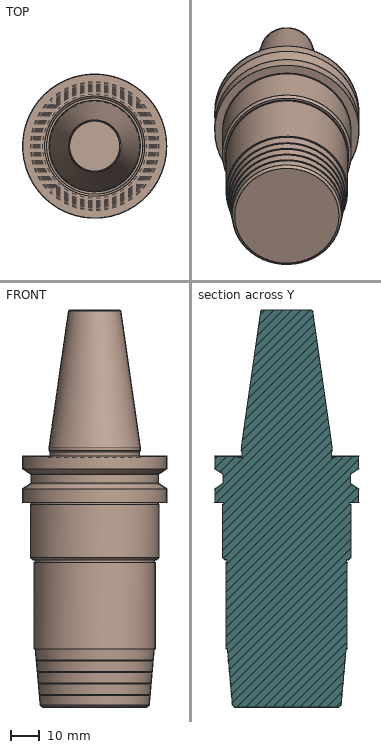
import cadquery as cq

TOTAL_HEIGHT = 137.8
FLANGE_TOP = 87.1
FLANGE_BOTTOM = 71.0
COLLAR_BOTTOM = 51.5
BODY_BOTTOM = 20.3

TAPER_TOP_RADIUS = 9.1
TAPER_BASE_RADIUS = 15.8
TAPER_BASE = 90.1
TAPER_TOP_CHAMFER = 0.4
NECK_RADIUS = 15.6
RELIEF_CHAMFER = 0.4
RELIEF_STEP_RADIUS = 15.8
RELIEF_STEP_HEIGHT = 89.0

RECESS_RADIUS = 17.4
RECESS_FLOOR_RADIUS = 16.7
RECESS_DEPTH = 0.4

FLANGE_DIAMETER = 50.0
FLANGE_RADIUS = FLANGE_DIAMETER / 2
GROOVE_RADIUS = 22.2
GROOVE_UPPER_LIP = 82.7
GROOVE_LOWER_LIP = 75.8
GROOVE_UPPER_FLOOR = 81.0
GROOVE_LOWER_FLOOR = 77.5
GROOVE_CORNER_CHAMFER = 0.3

COLLAR_RADIUS = 22.3
COLLAR_CHAMFER = 0.8
COLLAR_NECK_RADIUS = 22.0
COLLAR_NECK_HEIGHT = 0.7
BODY_RADIUS = 21.1
BODY_SHOULDER = 50.3
SHOULDER_RADIUS = 20.8

NOSE_TOP_RADIUS = 20.7
NOSE_TIP_RADIUS = 18.9
NOSE_CHAMFER = 0.8
RING_PITCH = 4.0
RING_COUNT = 4
RING_WIDTH = 0.4
RING_DEPTH = 0.1


def nose_radius(height):
    """Radius of the tapered nose at a given height."""
    return NOSE_TIP_RADIUS + (NOSE_TOP_RADIUS - NOSE_TIP_RADIUS) * height / BODY_BOTTOM


def make_holder():
    """Revolve the half profile, from the nose face up to the shank end."""
    profile = [
        (0, 0),
        (NOSE_TIP_RADIUS - NOSE_CHAMFER, 0),
        (nose_radius(NOSE_CHAMFER), NOSE_CHAMFER),
        (NOSE_TOP_RADIUS, BODY_BOTTOM),
        (BODY_RADIUS, BODY_BOTTOM),
        (BODY_RADIUS, BODY_SHOULDER),
        (SHOULDER_RADIUS, BODY_SHOULDER),
        (SHOULDER_RADIUS, COLLAR_BOTTOM - COLLAR_CHAMFER / 2),
        (COLLAR_RADIUS - COLLAR_CHAMFER, COLLAR_BOTTOM - COLLAR_CHAMFER / 2),
        (COLLAR_RADIUS, COLLAR_BOTTOM + COLLAR_CHAMFER / 2),
        (COLLAR_RADIUS, FLANGE_BOTTOM - COLLAR_NECK_HEIGHT),
        (COLLAR_NECK_RADIUS, FLANGE_BOTTOM - COLLAR_NECK_HEIGHT),
        (COLLAR_NECK_RADIUS, FLANGE_BOTTOM),
        (FLANGE_RADIUS, FLANGE_BOTTOM),
        (FLANGE_RADIUS, GROOVE_LOWER_LIP),
        (GROOVE_RADIUS + GROOVE_CORNER_CHAMFER, GROOVE_LOWER_FLOOR),
        (GROOVE_RADIUS, GROOVE_LOWER_FLOOR + GROOVE_CORNER_CHAMFER),
        (GROOVE_RADIUS, GROOVE_UPPER_FLOOR - GROOVE_CORNER_CHAMFER),
        (GROOVE_RADIUS + GROOVE_CORNER_CHAMFER, GROOVE_UPPER_FLOOR),
        (FLANGE_RADIUS, GROOVE_UPPER_LIP),
        (FLANGE_RADIUS, FLANGE_TOP),
        (RECESS_RADIUS, FLANGE_TOP),
        (RECESS_FLOOR_RADIUS, FLANGE_TOP - RECESS_DEPTH),
        (NECK_RADIUS, FLANGE_TOP - RECESS_DEPTH),
        (NECK_RADIUS, RELIEF_STEP_HEIGHT - RELIEF_CHAMFER),
        (RELIEF_STEP_RADIUS, RELIEF_STEP_HEIGHT),
        (TAPER_BASE_RADIUS, TAPER_BASE),
        (TAPER_TOP_RADIUS, TOTAL_HEIGHT - TAPER_TOP_CHAMFER),
        (TAPER_TOP_RADIUS - TAPER_TOP_CHAMFER, TOTAL_HEIGHT),
        (0, TOTAL_HEIGHT),
    ]
    return cq.Workplane("XZ").polyline(profile).close().revolve(360, (0, 0), (0, 1))


def make_ring_groove(height):
    """Shallow groove around the nose, centred at a given height."""
    floor_radius = nose_radius(height) - RING_DEPTH
    return (
        cq.Workplane("XY", origin=(0, 0, height - RING_WIDTH / 2))
        .circle(BODY_RADIUS)
        .circle(floor_radius)
        .extrude(RING_WIDTH)
    )


result = make_holder()
for ring in range(1, RING_COUNT + 1):
    result = result.cut(make_ring_groove(BODY_BOTTOM - ring * RING_PITCH))